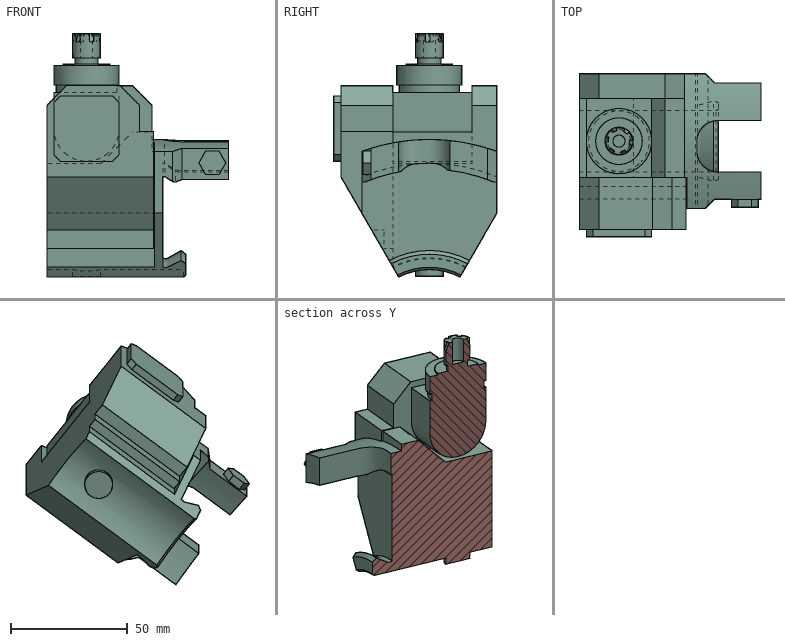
import cadquery as cq
import math


core_length = 45.2
cheek_length = 45.8
plate_face = 49.8
plate_gap_end = 46.1
plate_half_width = 29.0
cheek_face = -38.0
lug_top = 82.2
lug_chamfer = 8.5
cheek_lug_length = 39.8
shoulder_z = 62.5
pocket_shoulder_z = 62.2
tip_half_width = 13.15
slant = math.tan(math.radians(30))

bore_radius = 28.5
turret_z = -math.sqrt(bore_radius**2 - tip_half_width**2)
rim_radius = 84.35
arm_radius = 71.6
arm_groove_radius = 74.15
hook_groove_radius = 33.55
hook_groove_sag = 0.3
hook_crest_radius = 36.7
hook_end_radius = 35.1
arm_groove_land = 0.95

arm_end = 78.0
arm_half_width = 25.0
arm_shoulder_x = 54.0
arm_neck_x = 58.0
arm_crest_x = 55.2
arm_slot_width = 22.0
arm_slot_y = -2.2
arm_slot_start = 50.4
arm_slot_corner = 9.0
bolt_x, bolt_z = 71.0, 49.0
bolt_flats = 10.0
bolt_height = 3.4

hook_end = 59.6
hook_crest_x = 57.65
hook_foot_x = 52.0
hook_chamfer = 1.0

swivel_x, swivel_z = 17.0, 63.7
swivel_radius = 14.0
swivel_gap = 1.0
swivel_back, swivel_front = 18.2, -15.6
swivel_top = 79.3
cover_chamfer = 2.8
cover_thickness = 3.1
peg_diameter = 12.0
peg_bottom = 0.3

notch_height = 7.95
lower_notch_top = 12.2
upper_notch_top = lower_notch_top + notch_height
upper_notch = (lower_notch_top, upper_notch_top, -19.55)
lower_notch = (0, lower_notch_top, swivel_front)

nut_top = 104.56
spindle_steps = [(26.0, 82.4), (28.0, 90.8), (20.0, 91.4), (10.0, 94.0), (12.0, nut_top)]
nut_diameter = spindle_steps[-1][0]
nut_bottom = spindle_steps[-2][1]
nut_chamfer = 0.3
nut_bore = 5.2
wrench_slots = 6
wrench_slot_width = 2.0
wrench_slot_radial = 1.5
wrench_slot_height = 3.7
wrench_slot_angle = -7.5


def box(x0, x1, y0, y1, z0, z1):
    return cq.Workplane("XY").box(x1 - x0, y1 - y0, z1 - z0, centered=False).translate((x0, y0, z0))


def prism_along_x(points, x0, x1):
    """Extrude a (Y, Z) outline between two X stations."""
    return cq.Workplane("YZ").workplane(offset=x0).polyline(points).close().extrude(x1 - x0)


def prism_along_y(points, y0, y1):
    """Extrude an (X, Z) outline between two Y stations."""
    return cq.Workplane("XZ").workplane(offset=-y1).polyline(points).close().extrude(y1 - y0)


def turned_about_turret(outline):
    """Revolve an (X, radius) outline about the turret axis."""
    ring = outline.close().revolve(360, (0, 0, 0), (1, 0, 0))
    return ring.translate((0, 0, turret_z))


def turret_cylinder(radius, x0, x1):
    outline = cq.Workplane("XY").polyline([(x0, 0), (x1, 0), (x1, radius), (x0, radius)])
    return turned_about_turret(outline)


def tapered_outline(y_front, y_back, top):
    """(Y, Z) outline with straight sides that slant in to the two lower tips."""
    return [
        (-tip_half_width, 0),
        (y_front, (-tip_half_width - y_front) / slant),
        (y_front, top),
        (y_back, top),
        (y_back, (y_back - tip_half_width) / slant),
        (tip_half_width, 0),
    ]


def lug_outline(length):
    return [
        (0, 0),
        (0, lug_top - lug_chamfer),
        (lug_chamfer, lug_top),
        (length - lug_chamfer, lug_top),
        (length, lug_top - lug_chamfer),
        (length, 0),
    ]


def make_core():
    core = prism_along_x(tapered_outline(swivel_front, plate_half_width, lug_top), 0, core_length)
    return core.intersect(prism_along_y(lug_outline(core_length), swivel_front, plate_half_width))


def make_cheek():
    cheek = prism_along_x(tapered_outline(cheek_face, plate_half_width, lug_top), 0, cheek_length)
    upper = prism_along_y(lug_outline(cheek_lug_length), cheek_face, swivel_front)
    lower = box(0, cheek_length, cheek_face, swivel_front, 0, shoulder_z)
    return cheek.intersect(upper.union(lower))


def make_plate():
    outline = tapered_outline(-plate_half_width, plate_half_width, lug_top)
    plate = prism_along_x(outline, core_length, plate_face)
    plate = plate.intersect(turret_cylinder(rim_radius, core_length, plate_face))
    slit = box(core_length, plate_gap_end, -plate_half_width, swivel_front, upper_notch[0], lug_top)
    return plate.cut(slit)


def make_arms():
    outline = cq.Workplane("XY").polyline([
        (plate_face, rim_radius),
        (arm_end, rim_radius),
        (arm_end, arm_radius),
        (arm_crest_x, arm_radius),
        (plate_face + arm_groove_land, arm_groove_radius),
        (plate_face, arm_groove_radius),
    ])
    ring = turned_about_turret(outline)
    plan = (
        cq.Workplane("XY")
        .polyline([
            (plate_face, -plate_half_width),
            (arm_shoulder_x, -plate_half_width),
            (arm_neck_x, -arm_half_width),
            (arm_end, -arm_half_width),
            (arm_end, arm_half_width),
            (arm_neck_x, arm_half_width),
            (arm_shoulder_x, plate_half_width),
            (plate_face, plate_half_width),
        ])
        .close()
        .extrude(lug_top)
    )
    slot = box(
        arm_slot_start, arm_end, arm_slot_y - arm_slot_width / 2, arm_slot_y + arm_slot_width / 2, 0, lug_top,
    )
    slot = slot.edges("|Z and <X").fillet(arm_slot_corner)
    bolt = (
        cq.Workplane("XZ", origin=(bolt_x, -arm_half_width, bolt_z))
        .polygon(6, bolt_flats / math.cos(math.pi / 6))
        .extrude(bolt_height)
    )
    return ring.intersect(plan).cut(slot).union(bolt)


def make_hook():
    groove_middle = ((plate_face + hook_foot_x) / 2, hook_groove_radius - hook_groove_sag)
    profile = (
        cq.Workplane("XY")
        .polyline([
            (plate_face, bore_radius),
            (hook_end - hook_chamfer, bore_radius),
            (hook_end, bore_radius + hook_chamfer),
            (hook_end, hook_end_radius),
            (hook_crest_x, hook_crest_radius),
            (hook_foot_x, hook_groove_radius),
        ])
        .threePointArc(groove_middle, (plate_face, hook_groove_radius))
    )
    ring = turned_about_turret(profile)
    outline = tapered_outline(-plate_half_width, plate_half_width, lug_top)
    return ring.intersect(prism_along_x(outline, plate_face, hook_end))


def make_swivel_pocket():
    """Room for the swivel block: flat floor, then a 45 degree ramp clear of its round underside."""
    clear_radius = swivel_radius + swivel_gap
    floor = swivel_z - clear_radius
    ramp_start_x = swivel_x + clear_radius * math.tan(math.pi / 8)
    ramp_end_x = ramp_start_x + pocket_shoulder_z - floor
    outline = [
        (0, floor),
        (ramp_start_x, floor),
        (ramp_end_x, pocket_shoulder_z),
        (plate_face, pocket_shoulder_z),
        (plate_face, lug_top),
        (0, lug_top),
    ]
    return prism_along_y(outline, swivel_front, swivel_back)


def make_cover():
    cover_size = 2 * swivel_radius
    return (
        cq.Workplane("XZ", origin=(swivel_x, cheek_face, swivel_z))
        .rect(cover_size, cover_size)
        .extrude(cover_thickness)
        .edges("|Y")
        .chamfer(cover_chamfer)
    )


def make_peg():
    """Locating peg that stands out of the bore below the spindle axis."""
    bore_top = turret_z + bore_radius
    height = 2 * bore_top - peg_bottom
    return cq.Workplane("XY", origin=(swivel_x, 0, peg_bottom)).circle(peg_diameter / 2).extrude(height)


def make_housing():
    body = make_core().union(make_cheek()).union(make_plate()).union(make_arms()).union(make_hook())
    body = body.cut(make_swivel_pocket())
    body = body.cut(turret_cylinder(bore_radius, 0, plate_face))
    for bottom, top, wall in (upper_notch, lower_notch):
        body = body.cut(box(0, plate_gap_end, cheek_face, wall, bottom, top))
    return body.union(make_cover()).union(make_peg())


def make_wrench_slots():
    """Ramped notches that run out at the side of the nut."""
    rim = nut_diameter / 2
    outline = [
        (rim - wrench_slot_radial, nut_top),
        (rim, nut_top - wrench_slot_height),
        (rim, nut_top),
    ]
    slot = prism_along_y(outline, -wrench_slot_width / 2, wrench_slot_width / 2)
    slots = cq.Workplane("XY")
    for i in range(wrench_slots):
        angle = wrench_slot_angle + i * 360 / wrench_slots
        slots = slots.add(slot.rotate((0, 0, 0), (0, 0, 1), angle))
    return slots.translate((swivel_x, 0, 0))


def make_spindle_head():
    width = swivel_back - swivel_front
    round_end = (
        cq.Workplane("XZ", origin=(swivel_x, swivel_back, swivel_z)).circle(swivel_radius).extrude(width)
    )
    head = round_end.union(box(
        swivel_x - swivel_radius, swivel_x + swivel_radius, swivel_front, swivel_back, swivel_z, swivel_top,
    ))
    bottom = swivel_top
    for diameter, top in spindle_steps:
        step = cq.Workplane("XY", origin=(swivel_x, 0, bottom)).circle(diameter / 2).extrude(top - bottom)
        head = head.union(step)
        bottom = top
    head = head.faces(">Z").edges().chamfer(nut_chamfer)
    bore = cq.Workplane("XY", origin=(swivel_x, 0, nut_bottom)).circle(nut_bore / 2)
    head = head.cut(bore.extrude(nut_top - nut_bottom))
    for slot in make_wrench_slots().vals():
        head = head.cut(cq.Workplane(slot))
    return head


housing = make_housing()
spindle_head = make_spindle_head()
result = cq.Compound.makeCompound([housing.val(), spindle_head.val()])